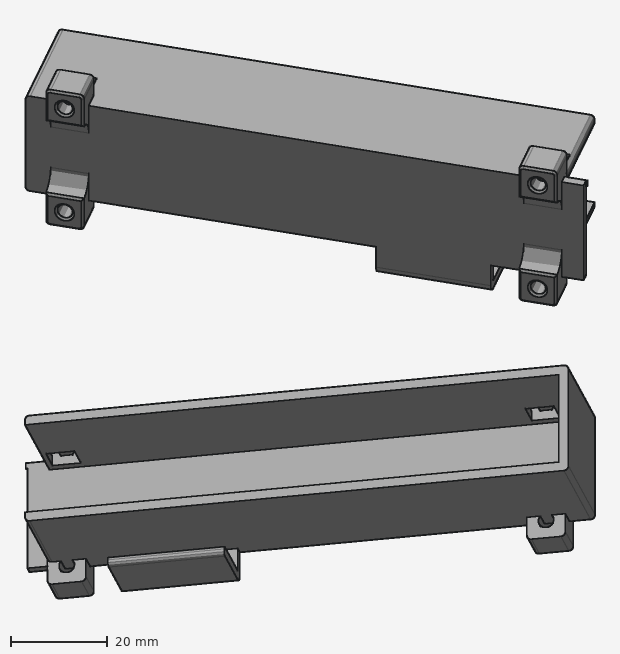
import cadquery as cq

total_length = 120.5
total_depth = 29.0
total_height = 36.2

box_length = 115.4
box_height = 24.0
wall = 2.0
end_round = 1.0

lug_width = 8.2
lug_reach = 4.0
lug_rise = 5.1
lug_face = 2 * lug_reach
lug_left_offset = 5.4
lug_round = 1.0
lug_chamfer = 0.5
screw_diameter = 3.3
screw_countersink = 0.5

slot_width = 6.0
slot_length = 6.0

tab_left = 75.4
tab_width = 24.7
tab_depth = 15.0
tab_tip_round = 0.7

nib_reach = 0.4
nib_thickness = 0.5
nib_height = 1.2

box_depth = total_depth - lug_reach
front_wall_length = total_length - nib_reach
tab_drop = total_height - box_height - lug_rise
lug_lefts = [lug_left_offset, box_length - lug_width]


def block(x, y, z, length, depth, height):
    """Rectangular block with its lowest corner at (x, y, z)."""
    return cq.Workplane("XY").box(length, depth, height, centered=False).translate((x, y, z))


def make_box():
    """Hollow box whose front wall runs on past the right end."""
    shell = block(0, 0, 0, box_length, box_depth, box_height).edges("|Y").fillet(end_round)
    cavity = block(wall, wall, wall, box_length, box_depth, box_height - 2 * wall)
    tail_left = box_length - 2 * end_round
    tail = block(tail_left, 0, 0, front_wall_length - tail_left, wall, box_height)
    nib = block(
        front_wall_length - wall, wall - nib_thickness, box_height - nib_height,
        wall + nib_reach, nib_thickness, nib_height,
    )
    return shell.cut(cavity).union(tail).union(nib)


def make_upper_lug(left):
    """Lug over the top edge of the box, with a concave root and a screw hole along Y."""
    top = box_height + lug_rise
    face_bottom = top - lug_face
    root = face_bottom - lug_reach
    root_mid = lug_reach * (1 - 0.5 ** 0.5)
    lug = (
        cq.Workplane("YZ")
        .moveTo(lug_reach, top)
        .lineTo(-lug_reach, top)
        .lineTo(-lug_reach, face_bottom)
        .threePointArc((-root_mid, face_bottom - root_mid), (0, root))
        .lineTo(wall, root)
        .lineTo(wall, box_height - wall)
        .lineTo(lug_reach, box_height - wall)
        .close()
        .extrude(lug_width)
    )
    lug = lug.faces(">Z").edges("|Y").fillet(lug_round)
    lug = lug.faces("<Y").edges().chamfer(lug_chamfer)
    hole_z = top - lug_face / 2
    hole = (
        cq.Workplane("XZ", origin=(lug_width / 2, lug_reach, hole_z))
        .circle(screw_diameter / 2)
        .extrude(lug_face)
    )
    countersink = cq.Workplane("XY").add(cq.Solid.makeCone(
        screw_diameter / 2 + screw_countersink, screw_diameter / 2, screw_countersink,
        pnt=cq.Vector(lug_width / 2, -lug_reach, hole_z), dir=cq.Vector(0, 1, 0),
    ))
    return lug.cut(hole).cut(countersink).translate((left, 0, 0))


def make_tab():
    """Front wall carried down below the box and bent back under it."""
    drop = block(tab_left, 0, -tab_drop, tab_width, wall, tab_drop + wall)
    foot = block(tab_left, 0, -tab_drop, tab_width, tab_depth, wall)
    foot = foot.faces(">Y").edges("|X").fillet(tab_tip_round)
    return drop.union(foot).edges("|X and <Y and <Z").fillet(wall)


result = make_box().union(make_tab())

for lug_left in lug_lefts:
    upper_lug = make_upper_lug(lug_left)
    lower_lug = upper_lug.mirror("XY", (0, 0, box_height / 2))
    slot_left = lug_left + (lug_width - slot_width) / 2
    slot = block(slot_left, lug_reach, box_height - wall, slot_width, slot_length, wall)
    result = result.cut(slot).union(upper_lug).union(lower_lug)